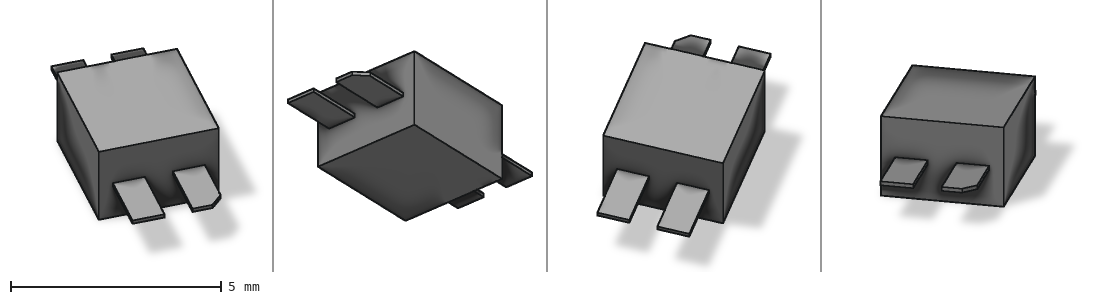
import cadquery as cq

body_length = 3.245
body_width = 3.0
body_height = 2.05

lead_span = 6.3
lead_width = 0.8
lead_thickness = 0.1
lead_pitch = 1.5
corner_cut = 0.3


def make_lead_strip(y_center):
    """Strip through the body forming two opposite leads, its top on the mid-height plane."""
    return (
        cq.Workplane("XY")
        .center(0, y_center)
        .rect(lead_span, lead_width)
        .extrude(-lead_thickness)
    )


body = cq.Workplane("XY").box(body_length, body_width, body_height)

marked_strip = make_lead_strip(lead_pitch / 2).edges("|Z and >X and >Y").chamfer(corner_cut)
plain_strip = make_lead_strip(-lead_pitch / 2)

result = body.union(marked_strip).union(plain_strip)